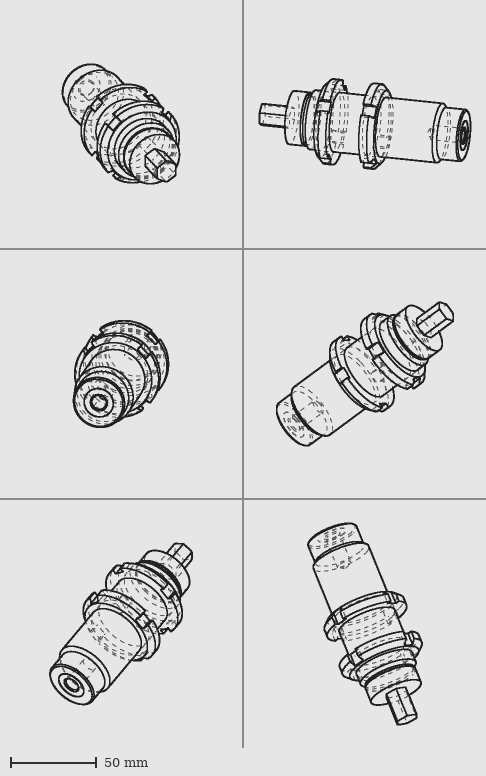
import cadquery as cq
import math

total_length = 122.3
nose_diameter = 30.6
nose_length = 12.6
nose_chamfer = 0.9
barrel_diameter = 35.0
barrel_end = 93.7
neck_diameter = 30.6
collar_start = 95.0
collar_diameter = 31.5
collar_end = 104.3
barrel_bevel = (barrel_diameter - nose_diameter) / 2

hex_across_flats = 12.0
hex_across_corners = hex_across_flats / math.cos(math.radians(30))
stem_chamfer = 0.4

recess_diameter = 17.4
recess_depth = 0.2
hole_diameter = 8.5
hole_mouth_diameter = 10.0
hole_depth = 19.6
drill_point_angle = 118.0

nut_diameter = 50.0
nut_width = 8.1
nut_face_diameter = 43.3
nut_bevel = (nut_diameter - nut_face_diameter) / 2
front_nut_start = 49.0
rear_nut_end = 85.1
slot_count = 4
slot_width = 7.1
slot_floor_distance = 22.0


def revolve_about_x(profile):
    """Turn a closed (x, radius) outline about the X axis."""
    return cq.Workplane("XY").polyline(profile).close().revolve(360, (0, 0, 0), (1, 0, 0))


def make_turned_body():
    nose_radius = nose_diameter / 2
    barrel_radius = barrel_diameter / 2
    neck_radius = neck_diameter / 2
    collar_radius = collar_diameter / 2
    return revolve_about_x([
        (0, 0),
        (0, nose_radius - nose_chamfer),
        (nose_chamfer, nose_radius),
        (nose_length, nose_radius),
        (nose_length + barrel_bevel, barrel_radius),
        (barrel_end - (barrel_radius - neck_radius), barrel_radius),
        (barrel_end, neck_radius),
        (collar_start, neck_radius),
        (collar_start, collar_radius),
        (collar_end, collar_radius),
        (collar_end, 0),
    ])


def make_stem():
    hexagon = (
        cq.Workplane("YZ", origin=(collar_end, 0, 0))
        .transformed(rotate=(0, 0, 90))
        .polygon(6, hex_across_corners)
        .extrude(total_length - collar_end)
    )
    corner_radius = hex_across_corners / 2
    envelope = revolve_about_x([
        (collar_end, 0),
        (collar_end, corner_radius),
        (total_length - stem_chamfer, corner_radius),
        (total_length, corner_radius - stem_chamfer),
        (total_length, 0),
    ])
    return hexagon.intersect(envelope)


def make_nose_hole():
    radius = hole_diameter / 2
    mouth_radius = hole_mouth_diameter / 2
    point_length = radius / math.tan(math.radians(drill_point_angle / 2))
    return revolve_about_x([
        (0, 0),
        (0, recess_diameter / 2),
        (recess_depth, recess_diameter / 2),
        (recess_depth, mouth_radius),
        (recess_depth + mouth_radius - radius, radius),
        (hole_depth, radius),
        (hole_depth + point_length, 0),
    ])


def make_main_body():
    return make_turned_body().union(make_stem()).cut(make_nose_hole())


def make_nut():
    """Nut with its bevelled face at x = 0."""
    bore_radius = barrel_diameter / 2
    outer_radius = nut_diameter / 2
    nut = revolve_about_x([
        (0, bore_radius),
        (0, nut_face_diameter / 2),
        (nut_bevel, outer_radius),
        (nut_width, outer_radius),
        (nut_width, bore_radius),
    ])
    slot_cutter = cq.Workplane("XY").box(
        nut_width, slot_width, outer_radius, centered=(False, True, False)
    ).translate((0, 0, slot_floor_distance))
    slot_pitch = 360 / slot_count
    for i in range(slot_count):
        slot_angle = (i + 0.5) * slot_pitch
        nut = nut.cut(slot_cutter.rotate((0, 0, 0), (1, 0, 0), slot_angle))
    return nut


main_body = make_main_body()

nuts = []
for bevelled_face, turn in [(front_nut_start, 0), (rear_nut_end, 180)]:
    nut = make_nut().rotate((0, 0, 0), (0, 0, 1), turn)
    nuts.append(nut.translate((bevelled_face, 0, 0)).val())

result = cq.Compound.makeCompound([main_body.val(), *nuts])